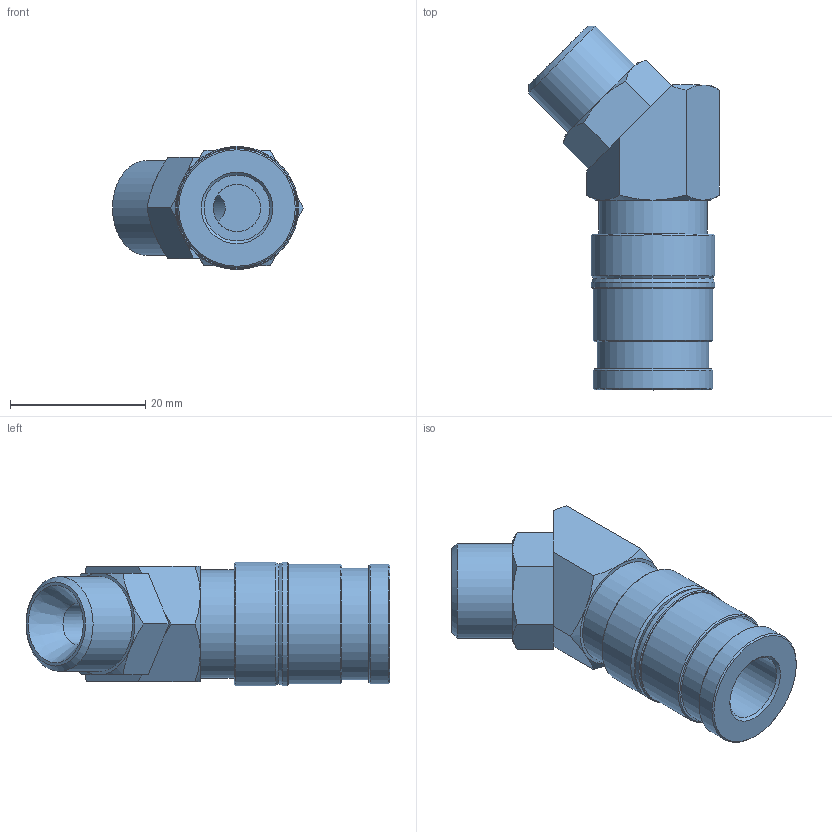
import cadquery as cq
import math


flange_radius = 8.8
flange_length = 3.1
grip_neck_radius = 8.25
sleeve_start = 7.1
sleeve_radius = 8.8
ring_start = 15.0
ring_end = 15.9
collar_radius = 9.1
collar_start = 16.85
collar_end = 23.0
groove_radius = 8.8
groove_mid = 16.45
neck_radius = 8.0
edge_chamfer = 0.2
collar_chamfer = 0.15

body_flats = 17.0
body_start = 28.0
body_end = 45.0
hex_chamfer_angle = 30.0

bend_angle = 45.0
bend_y = 35.34
spigot_face = 4.8
spigot_end = 19.79
thread_length = 9.0
thread_radius = 7.0
thread_chamfer = 0.8
spigot_flats = 15.0

mouth_radius = 4.87
mouth_depth = 17.0
mouth_chamfer = 0.4
bore_radius = 3.5
bore_depth = 41.3
spigot_bore_radius = 3.0
seat_radius = 5.74
seat_depth = 4.5

reach = 40.0


def turned(profile):
    """Revolve (radius, position) points about the Y axis."""
    return cq.Workplane("XY").polyline(profile).close().revolve(360, (0, 0, 0), (0, 1, 0))


def hexagon(flats, start, end, chamfer_start, chamfer_end):
    """Hexagonal bar along Y with flats facing +Z and -Z and turned-down corners."""
    half_side_angle = math.radians(180 / 6)
    corner_diameter = flats / math.cos(half_side_angle)
    bar = cq.Workplane("XZ", origin=(0, start, 0)).polygon(6, corner_diameter).extrude(start - end)
    flat_radius = flats / 2
    outer_radius = corner_diameter / 2
    drop = (outer_radius - flat_radius) * math.tan(math.radians(hex_chamfer_angle))
    start_radius = flat_radius if chamfer_start else outer_radius
    end_radius = flat_radius if chamfer_end else outer_radius
    profile = [(0, start), (start_radius, start)]
    if chamfer_start:
        profile.append((outer_radius, start + drop))
    if chamfer_end:
        profile.append((outer_radius, end - drop))
    profile += [(end_radius, end), (0, end)]
    return bar.intersect(turned(profile))


def lean(shape):
    """Move a shape built along +Y from the origin onto the leaning spigot axis."""
    return shape.rotate((0, 0, 0), (0, 0, 1), bend_angle).translate((0, bend_y, 0))


def make_socket():
    c = edge_chamfer
    collar_edge = collar_radius - collar_chamfer
    return turned([
        (0, 0),
        (flange_radius - c, 0),
        (flange_radius, c),
        (flange_radius, flange_length - c),
        (flange_radius - c, flange_length),
        (grip_neck_radius, flange_length),
        (grip_neck_radius, sleeve_start),
        (sleeve_radius - c, sleeve_start),
        (sleeve_radius, sleeve_start + c),
        (sleeve_radius, ring_start),
        (collar_edge, ring_start),
        (collar_radius, ring_start + collar_chamfer),
        (collar_radius, ring_end),
        (groove_radius, groove_mid),
        (collar_radius, collar_start),
        (collar_radius, collar_end - collar_chamfer),
        (collar_edge, collar_end),
        (neck_radius, collar_end),
        (neck_radius, body_start),
        (0, body_start),
    ])


def make_body():
    body = hexagon(body_flats, body_start, body_end, True, True)
    beyond_face = cq.Workplane("XY").box(reach, reach, reach)
    beyond_face = beyond_face.translate((0, spigot_face + reach / 2, 0))
    return body.cut(lean(beyond_face))


def make_spigot():
    shoulder = spigot_end - thread_length
    nut = hexagon(spigot_flats, spigot_face, shoulder, False, True)
    thread = turned([
        (0, spigot_face),
        (thread_radius, spigot_face),
        (thread_radius, spigot_end - thread_chamfer),
        (thread_radius - thread_chamfer, spigot_end),
        (0, spigot_end),
    ])
    return lean(nut.union(thread))


def make_socket_passage():
    return turned([
        (0, 0),
        (mouth_radius + mouth_chamfer, 0),
        (mouth_radius, mouth_chamfer),
        (mouth_radius, mouth_depth),
        (bore_radius, mouth_depth),
        (bore_radius, bore_depth),
        (0, bore_depth),
    ])


def make_spigot_passage():
    return lean(turned([
        (0, 0),
        (spigot_bore_radius, 0),
        (spigot_bore_radius, spigot_end - seat_depth),
        (seat_radius, spigot_end),
        (0, spigot_end),
    ]))


outside = make_socket().union(make_body()).union(make_spigot())
result = outside.cut(make_socket_passage()).cut(make_spigot_passage())